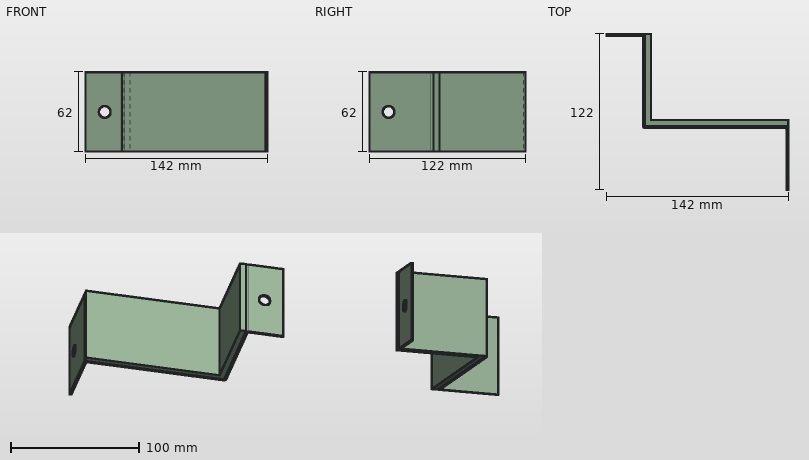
import cadquery as cq

LENGTH = 142.0
DEPTH = 122.0
HEIGHT = 62.0

SHEET = 1.5
INNER_BEND_RADIUS = 0.5
OUTER_BEND_RADIUS = INNER_BEND_RADIUS + SHEET
BACK_FLANGE = 30.0
FRONT_FLANGE = 50.0
HOLE_DIAMETER = 9.0
HOLE_EDGE_DISTANCE = 15.0

STRIP = 4.8

CONTACT_X = BACK_FLANGE
CONTACT_Y = FRONT_FLANGE


def extrude_outline(points):
    return cq.Workplane("XY").polyline(points).close().extrude(HEIGHT)


def round_bend(body, inner_corner, outer_corner):
    """Round the two upright edges of one sheet bend about a common axis."""
    for (x, y), radius in ((inner_corner, INNER_BEND_RADIUS), (outer_corner, OUTER_BEND_RADIUS)):
        edge = cq.selectors.NearestToPointSelector((x, y, HEIGHT / 2))
        body = body.edges("|Z").edges(edge).fillet(radius)
    return body


def make_bracket():
    web_x = CONTACT_X - SHEET
    web_y = CONTACT_Y - SHEET
    flange_x = LENGTH - SHEET
    flange_y = DEPTH - SHEET
    body = extrude_outline([
        (0, DEPTH),
        (CONTACT_X, DEPTH),
        (CONTACT_X, CONTACT_Y),
        (LENGTH, CONTACT_Y),
        (LENGTH, 0),
        (flange_x, 0),
        (flange_x, web_y),
        (web_x, web_y),
        (web_x, flange_y),
        (0, flange_y),
    ])
    body = round_bend(body, (web_x, flange_y), (CONTACT_X, DEPTH))
    body = round_bend(body, (CONTACT_X, CONTACT_Y), (web_x, web_y))
    body = round_bend(body, (flange_x, web_y), (LENGTH, CONTACT_Y))

    hole_radius = HOLE_DIAMETER / 2
    back_hole = cq.Solid.makeCylinder(
        hole_radius, SHEET, cq.Vector(HOLE_EDGE_DISTANCE, flange_y, HEIGHT / 2), cq.Vector(0, 1, 0)
    )
    front_hole = cq.Solid.makeCylinder(
        hole_radius, SHEET, cq.Vector(flange_x, HOLE_EDGE_DISTANCE, HEIGHT / 2), cq.Vector(1, 0, 0)
    )
    return body.cut(back_hole).cut(front_hole)


def make_strip():
    body = extrude_outline([
        (CONTACT_X, DEPTH),
        (CONTACT_X, CONTACT_Y),
        (LENGTH, CONTACT_Y),
        (LENGTH, CONTACT_Y + STRIP),
        (CONTACT_X + STRIP, CONTACT_Y + STRIP),
        (CONTACT_X + STRIP, DEPTH),
    ])
    corner = cq.selectors.NearestToPointSelector((CONTACT_X, CONTACT_Y, HEIGHT / 2))
    return body.edges("|Z").edges(corner).fillet(INNER_BEND_RADIUS)


bracket = make_bracket()
strip = make_strip()

result = cq.Compound.makeCompound([bracket.val(), strip.val()])